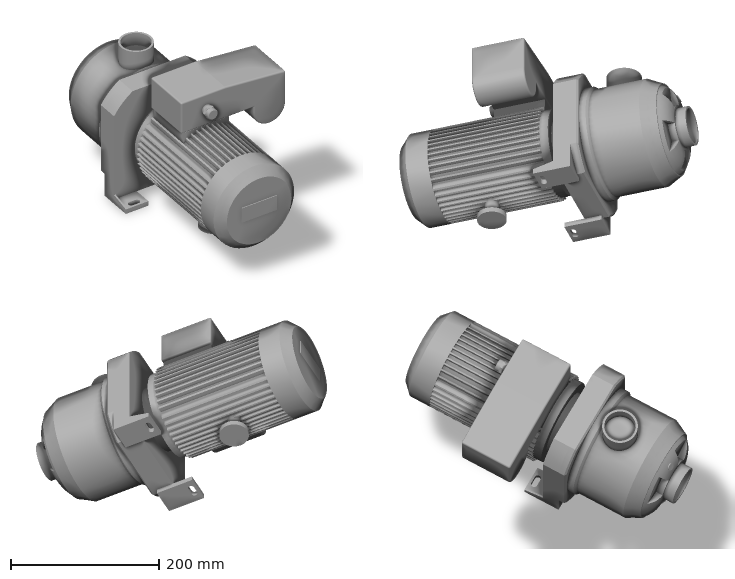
import cadquery as cq
import math


hub_face_x = 14.7
pocket_floor_x = 24.4
dome_end_x = 29.2
shoulder_end_x = 50.0
seal_ring_x = 121.3
plate_x = 134.6
bracket_x = 145.5
neck_x = 169.6
flange_x = 185.4
fins_x = 197.2
cowl_x = 355.6
cowl_bevel_x = 387.0
cowl_end_x = 400.0
overall_length = 401.2

inlet_diameter = 54.3
inlet_bore = 48.4
hub_diameter = 63.0
dome_diameter = 124.0
shoulder_diameter = 128.0
casing_diameter = 149.0
seal_ring_diameter = 156.5
seal_ring_bevel = (seal_ring_diameter - casing_diameter) / 2
pocket_count = 4
pocket_half_angle = 22.5
outlet_x = 97.0
outlet_diameter = 48.3
outlet_bore = 42.4
outlet_top_z = 102.3
outlet_depth = 20.0

plug_diameter = 10.0
plug_radius_from_axis = 49.0
plug_height = 1.2
plug_depth = 2.0

plate_width = 166.0
plate_round_diameter = 197.0
plate_bevel = 2.4
base_z = -90.0
foot_width = 36.5
foot_end_x = 198.5
foot_floor_height = 7.3
foot_wall_thickness = 2.5
foot_wall_height = 14.4
slot_x = 190.8
slot_width = 8.5
slot_length = 18.0
slot_y = 64.5

neck_diameter = 91.0
flange_diameter = 120.0
motor_diameter = 130.0
fin_pitch = 8.1
fin_thickness = 2.0
fins_each_side = 5
pedestal_end_x = 270.0
pedestal_width = 73.0

cowl_end_diameter = 104.0
label_width = 56.5
label_height = 23.6
label_z = 2.9

box_x = 195.8
box_length = 75.2
box_front_y = -41.0
box_back_y = 127.5
box_ridge_y = 30.0
box_top_z = 116.3
box_back_top_z = 106.8
box_bottom_z = 65.9
leg_width = 51.5
leg_arc_z = 56.5
box_rounding = 2.5

gland_diameter = 16.0
gland_z = 91.4
gland_nut_x = 276.0
gland_nut_length = 4.4
gland_nut_sides = 6
gland_end_x = 286.8
gland_bevel = 1.0

support_x = 285.8
support_disc_diameter = 40.0
support_stem_diameter = 20.0
support_disc_height = 7.3
support_cone_height = 6.0


def disc(x_start, x_end, diameter):
    """Round bar along the shaft between two stations."""
    return cq.Workplane("YZ", origin=(x_start, 0, 0)).circle(diameter / 2).extrude(x_end - x_start)


def make_dome_pocket(angle):
    """Wedge between two spokes of the dome, outside the hub."""
    reach = casing_diameter
    half_width = reach * math.tan(math.radians(pocket_half_angle))
    wedge = (
        cq.Workplane("YZ")
        .polyline([(0, 0), (reach, -half_width), (reach, half_width)])
        .close()
        .extrude(pocket_floor_x)
    )
    wedge = wedge.cut(disc(0, pocket_floor_x, hub_diameter))
    return wedge.rotate((0, 0, 0), (1, 0, 0), angle)


def make_casing():
    profile = (
        cq.Workplane("XY")
        .moveTo(hub_face_x, 0)
        .lineTo(hub_face_x, hub_diameter / 2)
        .tangentArcPoint((dome_end_x, dome_diameter / 2), relative=False)
        .lineTo(dome_end_x, shoulder_diameter / 2)
        .lineTo(shoulder_end_x, casing_diameter / 2)
        .lineTo(seal_ring_x, casing_diameter / 2)
        .lineTo(seal_ring_x + seal_ring_bevel, seal_ring_diameter / 2)
        .lineTo(plate_x, seal_ring_diameter / 2)
        .lineTo(plate_x, 0)
        .close()
    )
    casing = profile.revolve(360, (0, 0, 0), (1, 0, 0))
    for index in range(pocket_count):
        casing = casing.cut(make_dome_pocket((index + 0.5) * 360 / pocket_count))
    outlet = cq.Workplane("XY", origin=(outlet_x, 0, 0)).circle(outlet_diameter / 2).extrude(outlet_top_z)
    outlet_hole = (
        cq.Workplane("XY", origin=(outlet_x, 0, outlet_top_z))
        .circle(outlet_bore / 2)
        .extrude(-outlet_depth)
    )
    inlet = disc(0, hub_face_x, inlet_diameter)
    return casing.union(inlet).union(outlet).cut(disc(0, hub_face_x, inlet_bore)).cut(outlet_hole)


def make_plug():
    """Vent plug standing square to the dome surface."""
    arc_height = (dome_diameter - hub_diameter) / 2
    arc_depth = dome_end_x - hub_face_x
    dome_radius = (arc_height**2 + arc_depth**2) / (2 * arc_depth)
    tilt = math.asin((plug_radius_from_axis - hub_diameter / 2) / dome_radius)
    surface_x = hub_face_x + dome_radius * (1 - math.cos(tilt))
    outward = cq.Vector(-math.cos(tilt), 0, math.sin(tilt))
    seat = cq.Vector(surface_x, 0, plug_radius_from_axis) - outward * plug_depth
    length = plug_depth + plug_height
    return cq.Workplane(cq.Solid.makeCylinder(plug_diameter / 2, length, seat, outward))


def make_plate():
    thickness = bracket_x - plate_x
    blank = cq.Workplane("YZ", origin=(plate_x, 0, 0)).rect(plate_width, plate_width).extrude(thickness)
    plate = blank.intersect(disc(plate_x, bracket_x, plate_round_diameter))
    return plate.faces("<X").chamfer(plate_bevel)


def make_bracket_foot(side):
    """One foot with its sloping outer wall and bolt slot; side is +1 or -1 along Y."""
    outer_y = plate_width / 2
    inner_corner = cq.Workplane("XY", origin=(bracket_x, outer_y - foot_width, base_z))
    floor = inner_corner.box(foot_end_x - bracket_x, foot_width, foot_floor_height, centered=False)
    pad = inner_corner.box(neck_x - bracket_x, foot_width, -base_z, centered=False)
    wall = (
        cq.Workplane("XZ", origin=(0, outer_y, 0))
        .polyline([
            (bracket_x, base_z),
            (foot_end_x, base_z),
            (foot_end_x, base_z + foot_floor_height),
            (neck_x, base_z + foot_wall_height),
            (bracket_x, base_z + foot_wall_height),
        ])
        .close()
        .extrude(foot_wall_thickness)
    )
    slot = (
        cq.Workplane("XY", origin=(slot_x, slot_y, base_z))
        .slot2D(slot_length, slot_width, 90)
        .extrude(foot_floor_height)
    )
    foot = floor.union(pad).union(wall).cut(slot)
    return foot if side > 0 else foot.mirror("XZ")


def make_bracket():
    thickness = neck_x - bracket_x
    blank = cq.Workplane("YZ", origin=(bracket_x, 0, 0)).rect(plate_width, plate_width).extrude(thickness)
    bracket = blank.intersect(disc(bracket_x, neck_x, plate_round_diameter))
    for side in (1, -1):
        bracket = bracket.union(make_bracket_foot(side))
    return bracket


def make_motor(support):
    """Neck, flange and finned core with the terminal box pedestal, recessed for the support foot."""
    motor = disc(neck_x, flange_x, neck_diameter).union(disc(flange_x, cowl_x, flange_diameter))
    outline = disc(fins_x, cowl_x, motor_diameter)
    for index in range(-fins_each_side, fins_each_side + 1):
        offset = index * fin_pitch
        for width, height, y, z in (
            (motor_diameter, fin_thickness, 0, offset),
            (fin_thickness, motor_diameter, offset, 0),
        ):
            fin = cq.Workplane("YZ", origin=(fins_x, y, z)).rect(width, height).extrude(cowl_x - fins_x)
            motor = motor.union(fin.intersect(outline))
    pedestal = cq.Workplane("XY", origin=((fins_x + pedestal_end_x) / 2, 0, 0)).box(
        pedestal_end_x - fins_x, pedestal_width, box_bottom_z, centered=(True, True, False)
    )
    return motor.union(pedestal).cut(support)


def make_cowl():
    return (
        cq.Workplane("XY")
        .polyline([
            (cowl_x, 0),
            (cowl_x, motor_diameter / 2),
            (cowl_bevel_x, motor_diameter / 2),
            (cowl_end_x, cowl_end_diameter / 2),
            (cowl_end_x, 0),
        ])
        .close()
        .revolve(360, (0, 0, 0), (1, 0, 0))
    )


def make_label():
    return (
        cq.Workplane("YZ", origin=(cowl_end_x, 0, label_z))
        .rect(label_width, label_height)
        .extrude(overall_length - cowl_end_x)
    )


def make_terminal_box():
    leg_front_y = box_back_y - leg_width
    box = (
        cq.Workplane("YZ", origin=(box_x, 0, 0))
        .moveTo(box_front_y, box_bottom_z)
        .lineTo(box_front_y, box_top_z)
        .lineTo(box_ridge_y, box_top_z)
        .lineTo(box_back_y, box_back_top_z)
        .lineTo(box_back_y, leg_arc_z)
        .threePointArc(
            (box_back_y - leg_width / 2, leg_arc_z - leg_width / 2), (leg_front_y, leg_arc_z)
        )
        .lineTo(leg_front_y, box_bottom_z)
        .close()
        .extrude(box_length)
    )
    long_edge_y = (box_front_y, box_back_y)
    long_edges = box.edges("|X").filter(
        lambda edge: edge.Center().z > leg_arc_z + box_rounding
        and any(abs(edge.Center().y - y) < box_rounding for y in long_edge_y)
    )
    end_edges = box.faces("<X or >X").edges()
    return box.newObject(long_edges.vals() + end_edges.vals()).fillet(box_rounding)


def make_gland():
    gland = disc(box_x + box_length, gland_end_x, gland_diameter).faces(">X").chamfer(gland_bevel)
    nut_corner_diameter = gland_diameter / math.cos(math.pi / gland_nut_sides)
    nut = (
        cq.Workplane("YZ", origin=(gland_nut_x, 0, 0))
        .polygon(gland_nut_sides, nut_corner_diameter)
        .extrude(gland_nut_length)
    )
    return gland.union(nut).translate((0, 0, gland_z))


def make_support():
    stem_top_z = -flange_diameter / 2
    disc_top_z = base_z + support_disc_height
    cone_top_z = disc_top_z + support_cone_height
    return (
        cq.Workplane("XZ")
        .polyline([
            (0, base_z),
            (support_disc_diameter / 2, base_z),
            (support_disc_diameter / 2, disc_top_z),
            (support_stem_diameter / 2, cone_top_z),
            (support_stem_diameter / 2, stem_top_z),
            (0, stem_top_z),
        ])
        .close()
        .revolve(360, (0, 0, 0), (0, 1, 0))
        .translate((support_x, 0, 0))
    )


plug = make_plug()
casing = make_casing().cut(plug)
plate = make_plate()
bracket = make_bracket()
support = make_support()
motor = make_motor(support)
cowl = make_cowl()
label = make_label()
terminal_box = make_terminal_box()
gland = make_gland()

result = cq.Compound.makeCompound([
    casing.val(),
    plug.val(),
    plate.val(),
    bracket.val(),
    motor.val(),
    cowl.val(),
    label.val(),
    terminal_box.val(),
    gland.val(),
    support.val(),
])